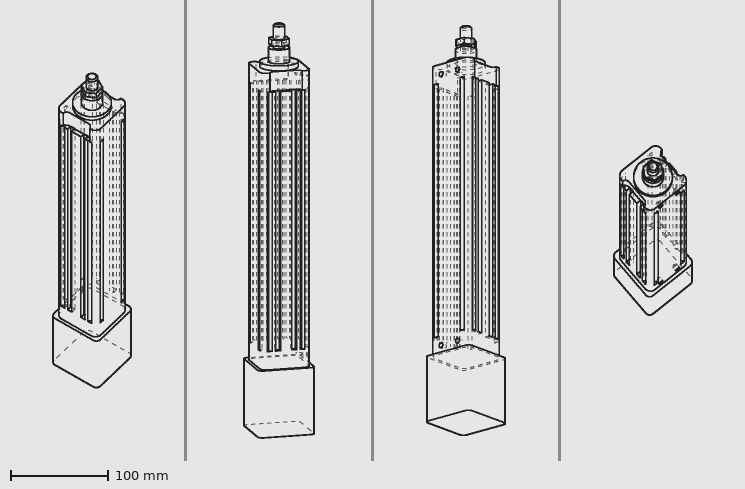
import cadquery as cq
import math

total_height = 430.0
base_top = 71.0
tube_top = 385.3
pilot_top = 390.5
collar_top = 405.0
nut_bottom = 408.5
nut_top = 415.0

base_width = 60.0
base_corner_radius = 5.0
tube_width = 53.0
tube_corner_radius = 7.5
tube_half = tube_width / 2

pilot_diameter = 40.0
collar_diameter = 22.0
rod_diameter = 12.0
rod_chamfer = 1.7
nut_across_flats = 19.0

groove_bottom = 90.5
groove_top = 365.0
groove_length = groove_top - groove_bottom

slot_center = 8.5
slot_width = 5.0
slot_depth = 5.0

vee_inner = 15.0
vee_root = 17.5
vee_outer = 20.0
vee_depth = 3.0

recess_floor_half = 12.5
recess_depth = 4.7

hole_diameter = 5.0
hole_depth = 5.0
drill_point_length = 1.7
hole_offset = 11.0
hole_heights = (80.0, 374.5)


def square_block(width, corner_radius, bottom, top):
    block = cq.Workplane("XY").workplane(offset=bottom).rect(width, width).extrude(top - bottom)
    return block.edges("|Z").fillet(corner_radius)


def cylinder(diameter, bottom, top):
    return cq.Workplane("XY").workplane(offset=bottom).circle(diameter / 2).extrude(top - bottom)


def around_axis(shape, angle):
    return shape.rotate((0, 0, 0), (0, 0, 1), angle)


def vee_groove(side):
    """V groove on the -Y face; side is -1 or +1 along X."""
    profile = [
        (side * vee_inner, -tube_width),
        (side * vee_inner, -tube_half),
        (side * vee_root, -tube_half + vee_depth),
        (side * vee_outer, -tube_half),
        (side * vee_outer, -tube_width),
    ]
    return cq.Workplane("XY").workplane(offset=groove_bottom).polyline(profile).close().extrude(groove_length)


def slot(side):
    """Rectangular slot on the -Y face; side is -1 or +1 along X."""
    return (
        cq.Workplane("XY")
        .workplane(offset=groove_bottom)
        .center(side * slot_center, -tube_half)
        .rect(slot_width, 2 * slot_depth)
        .extrude(groove_length)
    )


def head_recess():
    """Recess on the -Y face, open at the top of the tube."""
    floor = -tube_half + recess_depth
    mouth_half = recess_floor_half + recess_depth
    arc_rise = recess_depth * math.sin(math.radians(45))
    arc_x = recess_floor_half + arc_rise
    arc_y = -tube_half + arc_rise
    return (
        cq.Workplane("XY")
        .workplane(offset=groove_top)
        .moveTo(-mouth_half, -tube_half)
        .threePointArc((-arc_x, arc_y), (-recess_floor_half, floor))
        .lineTo(recess_floor_half, floor)
        .threePointArc((arc_x, arc_y), (mouth_half, -tube_half))
        .close()
        .extrude(tube_top - groove_top)
    )


def mounting_hole(y, z):
    """Blind hole along X with a conical drill point."""
    radius = hole_diameter / 2
    inward = cq.Vector(1, 0, 0)
    mouth = cq.Vector(-tube_half, y, z)
    point_base = mouth + inward * hole_depth
    bore = cq.Solid.makeCylinder(radius, hole_depth, mouth, inward)
    drill_point = cq.Solid.makeCone(radius, 0, drill_point_length, point_base, inward)
    return cq.Workplane(bore).union(cq.Workplane(drill_point))


tube = square_block(tube_width, tube_corner_radius, base_top, tube_top)
for side in (-1, 1):
    for angle in (0, 90, 180, 270):
        tube = tube.cut(around_axis(vee_groove(side), angle))
    for angle in (0, 180):
        tube = tube.cut(around_axis(slot(side), angle))
    for height in hole_heights:
        tube = tube.cut(mounting_hole(side * hole_offset, height))
for angle in (0, 180):
    tube = tube.cut(around_axis(head_recess(), angle))

base = square_block(base_width, base_corner_radius, 0, base_top)

pilot = cylinder(pilot_diameter, tube_top, pilot_top)
collar = cylinder(collar_diameter, pilot_top, collar_top)
rod = cylinder(rod_diameter, collar_top, total_height).faces(">Z").chamfer(rod_chamfer)
nut_across_corners = nut_across_flats / math.cos(math.radians(30))
nut_height = nut_top - nut_bottom
nut = cq.Workplane("XY").workplane(offset=nut_bottom).polygon(6, nut_across_corners).extrude(nut_height)
nut = around_axis(nut, 90)

result = base.union(tube).union(pilot).union(collar).union(rod).union(nut)